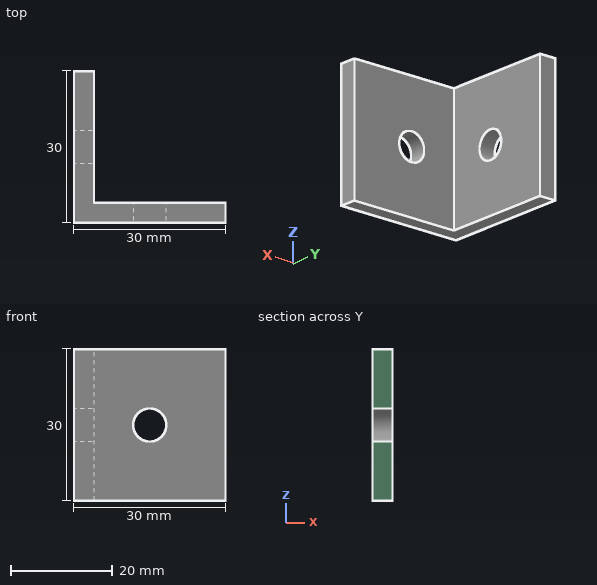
import cadquery as cq

side = 30.0
thickness = 4.0
hole_diameter = 6.5


def drill(body, plane, depth_direction):
    """Cut a through hole at the centre of the outer face lying on the plane."""
    cutter = (
        cq.Workplane(plane)
        .center(side / 2, side / 2)
        .circle(hole_diameter / 2)
        .extrude(depth_direction * thickness)
    )
    return body.cut(cutter)


bracket = (
    cq.Workplane("XY")
    .moveTo(0, 0)
    .lineTo(side, 0)
    .lineTo(side, thickness)
    .lineTo(thickness, thickness)
    .lineTo(thickness, side)
    .lineTo(0, side)
    .close()
    .extrude(side)
)

bracket = drill(bracket, "XZ", -1)
bracket = drill(bracket, "YZ", 1)

result = bracket